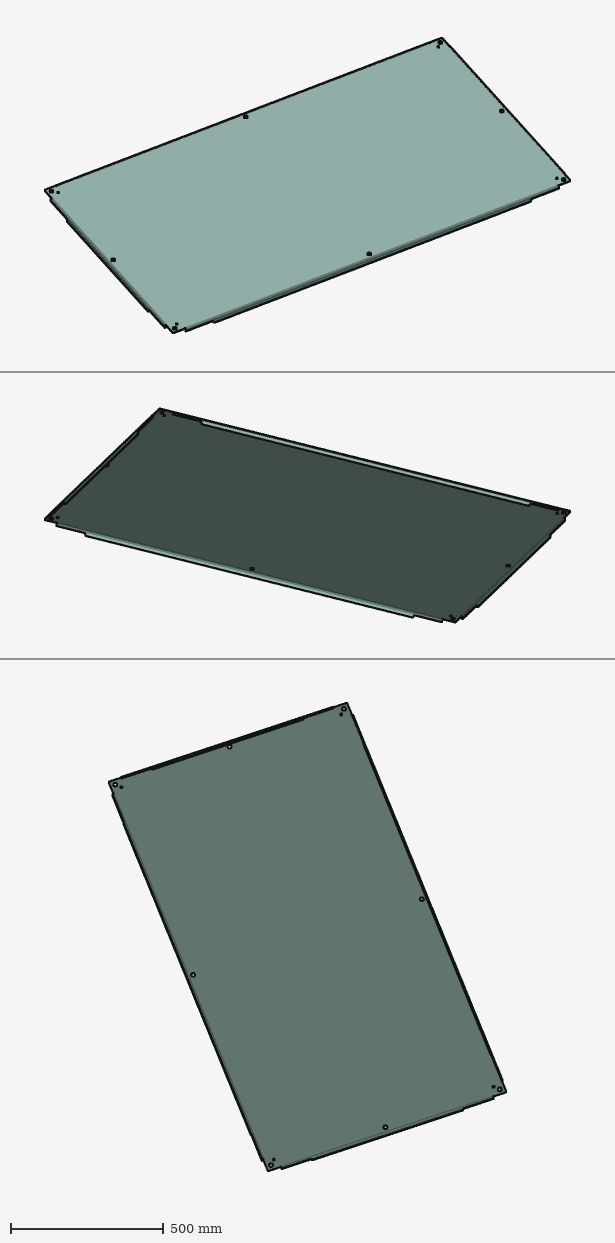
import cadquery as cq
import math

LENGTH_X = 842.96
LENGTH_Y = 1522.41
HEIGHT = 22.23

THICKNESS = 3.175
OUTER_BEND_RADIUS = 6.0
INNER_BEND_RADIUS = OUTER_BEND_RADIUS - THICKNESS

CORNER_SETBACK = 4.0
CORNER_RADIUS = 3.3

END_INSET = 50.7
DEEP_INSET = 161.6
SHALLOW_DEPTH = 12.2
STEP_RADIUS = (HEIGHT - SHALLOW_DEPTH) / 2

MOUNT_HOLE_DIAMETER = 12.7
MOUNT_HOLE_INSET = 21.43
SMALL_HOLE_DIAMETER = 6.35
SMALL_HOLE_INSET = 37.3


def make_sheet(size_x, size_y):
    """Flat rectangular sheet, centred on the origin, with its top face at Z = 0."""
    return cq.Workplane("XY").rect(size_x, size_y).extrude(-THICKNESS)


def make_plate():
    """Flat part of the panel: it ends at the bend lines, and its rounded corners reach further out."""
    bend_line_x = LENGTH_X - 2 * OUTER_BEND_RADIUS
    bend_line_y = LENGTH_Y - 2 * OUTER_BEND_RADIUS
    flange_length_x = LENGTH_X - 2 * END_INSET
    flange_length_y = LENGTH_Y - 2 * END_INSET

    corners = (
        make_sheet(LENGTH_X - 2 * CORNER_SETBACK, LENGTH_Y - 2 * CORNER_SETBACK)
        .edges("|Z")
        .fillet(CORNER_RADIUS)
        .cut(make_sheet(LENGTH_X, flange_length_y))
        .cut(make_sheet(flange_length_x, LENGTH_Y))
    )
    middle = make_sheet(bend_line_x, flange_length_y).union(make_sheet(flange_length_x, bend_line_y))
    return middle.union(corners).clean()


def bent_strip(span, run):
    """Bend and full-depth flange on the +X edge of a panel of width span and edge length run."""
    outer_face = span / 2
    inner_face = outer_face - THICKNESS
    bend_line = outer_face - OUTER_BEND_RADIUS
    diagonal = math.sqrt(0.5)
    outer_mid = (bend_line + OUTER_BEND_RADIUS * diagonal, OUTER_BEND_RADIUS * (diagonal - 1))
    inner_mid = (
        bend_line + INNER_BEND_RADIUS * diagonal,
        INNER_BEND_RADIUS * diagonal - OUTER_BEND_RADIUS,
    )
    return (
        cq.Workplane("XZ")
        .moveTo(bend_line, 0)
        .threePointArc(outer_mid, (outer_face, -OUTER_BEND_RADIUS))
        .lineTo(outer_face, -HEIGHT)
        .lineTo(inner_face, -HEIGHT)
        .lineTo(inner_face, -OUTER_BEND_RADIUS)
        .threePointArc(inner_mid, (bend_line, -THICKNESS))
        .close()
        .extrude(run / 2, both=True)
    )


def flange_outline(span, run):
    """Stepped flange silhouette in YZ, extruded along X past both edges of the panel."""
    end = run / 2 - END_INSET
    deep_end = run / 2 - DEEP_INSET
    step_middle = deep_end + STEP_RADIUS
    shallow_end = step_middle + STEP_RADIUS
    step_middle_z = -SHALLOW_DEPTH - STEP_RADIUS
    return (
        cq.Workplane("YZ")
        .moveTo(-end, 0)
        .lineTo(end, 0)
        .lineTo(end, -SHALLOW_DEPTH)
        .lineTo(shallow_end, -SHALLOW_DEPTH)
        .radiusArc((step_middle, step_middle_z), -STEP_RADIUS)
        .radiusArc((deep_end, -HEIGHT), STEP_RADIUS)
        .lineTo(-deep_end, -HEIGHT)
        .radiusArc((-step_middle, step_middle_z), STEP_RADIUS)
        .radiusArc((-shallow_end, -SHALLOW_DEPTH), -STEP_RADIUS)
        .lineTo(-end, -SHALLOW_DEPTH)
        .close()
        .extrude(span, both=True)
    )


def make_flange(span, run):
    """Flange on the +X edge of a panel that measures span across and run along that edge."""
    return bent_strip(span, run).intersect(flange_outline(span, run))


def turned(body, angle):
    """Body turned about the Z axis."""
    return body.rotate((0, 0, 0), (0, 0, 1), angle)


def corner_points(inset):
    """Four points, each set in equally from the two overall edges at a corner."""
    x = LENGTH_X / 2 - inset
    y = LENGTH_Y / 2 - inset
    return [(-x, -y), (x, -y), (x, y), (-x, y)]


def edge_middle_points(inset):
    """Four points set in from the middles of the overall edges."""
    x = LENGTH_X / 2 - inset
    y = LENGTH_Y / 2 - inset
    return [(-x, 0), (x, 0), (0, -y), (0, y)]


def cut_holes(body, points, diameter):
    """Cut round holes through the plate at the given points."""
    drills = cq.Workplane("XY").pushPoints(points).circle(diameter / 2).extrude(-THICKNESS)
    return body.cut(drills)


side_flange = make_flange(LENGTH_X, LENGTH_Y)
end_flange = make_flange(LENGTH_Y, LENGTH_X)

panel = make_plate()
for half_turn in (0, 180):
    panel = panel.union(turned(side_flange, half_turn))
    panel = panel.union(turned(end_flange, half_turn + 90))

mount_points = corner_points(MOUNT_HOLE_INSET) + edge_middle_points(MOUNT_HOLE_INSET)
panel = cut_holes(panel, mount_points, MOUNT_HOLE_DIAMETER)
panel = cut_holes(panel, corner_points(SMALL_HOLE_INSET), SMALL_HOLE_DIAMETER)

result = panel